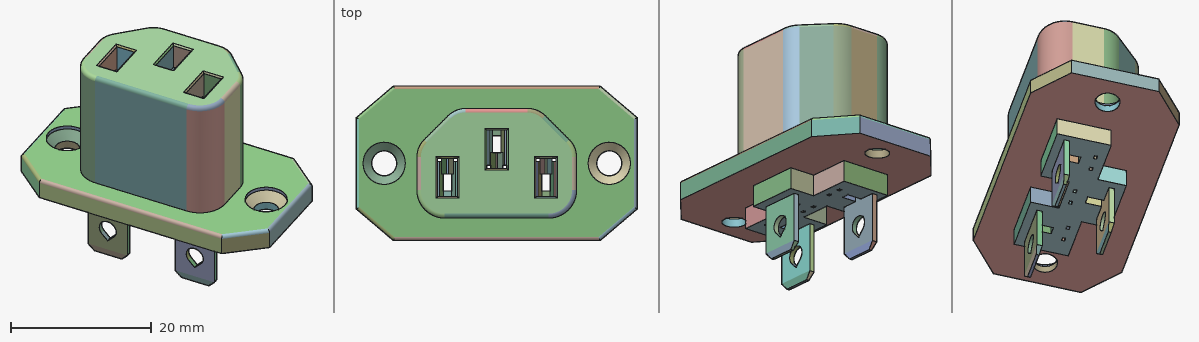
import cadquery as cq
import math


flange_length = 40.0
flange_width = 22.0
flange_height = 3.0
flange_cut_x = 5.3
flange_cut_y = 4.5
flange_edge_radius = 0.5

screw_spacing = 32.0
screw_diameter = 3.5
screw_head_diameter = 6.0
screw_head_recess = 0.5
screw_cone_depth = (screw_head_diameter - screw_diameter) / 2

body_length = 22.7
body_width = 15.6
body_height = 18.3
body_cut = 5.5
body_front_radius = 4.0
body_back_radius = 3.5
body_edge_radius = 0.6
body_top = flange_height + body_height

well_height = 3.2
well_length = 8.4
well_width = 8.0
side_well_x = 6.8
side_well_y = -2.0
earth_well_y = 2.2

pole_spacing = 7.0
row_offset = 2.0
socket_length = 2.8
socket_width = 5.45
socket_chamfer = 0.25
socket_height = body_top + well_height

tab_width = 6.3
tab_thickness = 0.8
tab_length = 8.3
tab_tip_length = 1.05
tab_tip_inset = 0.95
tab_tip_thickness = 0.45
eye_radius = 1.35
eye_drop = 3.8
tab_y = row_offset + socket_width / 2 - tab_thickness / 2

contact_top = body_top - 4.0
contact_gap = 1.2
contact_clear_depth = 2.4
contact_entry_depth = 2.4
contact_end_gap = 0.45
contact_rim = 0.3
lip_half_width = 0.9
lip_groove = 0.25
lip_groove_depth = 4.0


def make_flange():
    """Plate with four cut corners and a rounded upper rim."""
    x = flange_length / 2
    y = flange_width / 2
    outline = [
        (x, y - flange_cut_y), (x - flange_cut_x, y),
        (flange_cut_x - x, y), (-x, y - flange_cut_y),
        (-x, flange_cut_y - y), (flange_cut_x - x, -y),
        (x - flange_cut_x, -y), (x, flange_cut_y - y),
    ]
    plate = cq.Workplane("XY").polyline(outline).close().extrude(flange_height)
    return plate.faces(">Z").edges().fillet(flange_edge_radius)


def make_screw_hole(x):
    """Through hole with a cone and a short straight recess for the screw head."""
    cone_top = flange_height - screw_head_recess
    cone_bottom = cone_top - screw_cone_depth
    head_radius = screw_head_diameter / 2
    hole_radius = screw_diameter / 2
    profile = [
        (0, 0), (hole_radius, 0), (hole_radius, cone_bottom),
        (head_radius, cone_top), (head_radius, flange_height), (0, flange_height),
    ]
    hole = cq.Workplane("XZ").polyline(profile).close().revolve(360, (0, 0), (0, 1))
    return hole.translate((x, 0, 0))


def make_body():
    """Tall block with two cut back corners, rounded sides and a rounded top rim."""
    x = body_length / 2
    y = body_width / 2
    outline = [
        (-x, -y), (x, -y), (x, y - body_cut),
        (x - body_cut, y), (body_cut - x, y), (-x, y - body_cut),
    ]
    body = cq.Workplane("XY").polyline(outline).close().extrude(body_top)
    body = body.edges("|Z and <Y").fillet(body_front_radius)
    back_half = cq.selectors.BoxSelector((-body_length, 0, 0), (body_length, body_width, body_top))
    body = body.edges("|Z").edges(back_half).fillet(body_back_radius)
    return body.faces(">Z").edges().fillet(body_edge_radius)


def make_well(x, y):
    """Rectangular housing below the flange around one pole."""
    well = cq.Workplane("XY").box(well_length, well_width, well_height, centered=(True, True, False))
    return well.translate((x, y, -well_height))


def make_socket():
    """Opening through the whole part with a chamfered mouth, for the earth pole."""
    shaft = (
        cq.Workplane("XY", origin=(0, row_offset, -well_height))
        .rect(socket_length, socket_width).extrude(socket_height)
    )
    mouth = (
        cq.Workplane("XY", origin=(0, row_offset, body_top))
        .rect(socket_length + 2 * socket_chamfer, socket_width + 2 * socket_chamfer)
        .workplane(offset=-socket_chamfer)
        .rect(socket_length, socket_width).loft(ruled=True)
    )
    return shaft.union(mouth)


def make_tab():
    """Solder tab with a bevelled tip and a teardrop eye, for the earth pole."""
    top = -well_height
    bottom = top - tab_length
    shoulder = bottom + tab_tip_length
    half = tab_width / 2
    face = [
        (-half, top), (half, top), (half, shoulder), (half - tab_tip_inset, bottom),
        (tab_tip_inset - half, bottom), (-half, shoulder),
    ]
    blade = cq.Workplane("XZ").polyline(face).close().extrude(tab_thickness / 2, both=True)

    half_thick = tab_thickness / 2
    half_tip = tab_tip_thickness / 2
    side = [
        (-half_thick, top), (half_thick, top), (half_thick, shoulder),
        (half_tip, bottom), (-half_tip, bottom), (-half_thick, shoulder),
    ]
    wedge = cq.Workplane("YZ").polyline(side).close().extrude(tab_width / 2, both=True)

    eye_z = top - eye_drop
    tangent = eye_radius * math.sqrt(0.5)
    eye = (
        cq.Workplane("XZ").moveTo(-tangent, eye_z - tangent)
        .threePointArc((0, eye_z + eye_radius), (tangent, eye_z - tangent))
        .lineTo(0, eye_z - 2 * tangent).close()
        .extrude(tab_thickness, both=True)
    )
    return blade.intersect(wedge).cut(eye).translate((0, tab_y, 0))


def extrude_along_y(points, y_start, y_end):
    """Extrude an X-Z outline from y_start to y_end."""
    plane = cq.Workplane("XZ", origin=(0, y_end, 0))
    return plane.polyline(points).close().extrude(y_end - y_start)


def make_contact():
    """Back strip, two tapered cheeks and a grooved front lip, for the earth pole."""
    bottom = -well_height
    gap = contact_gap / 2
    wall = socket_length / 2
    entry = contact_top - contact_entry_depth
    socket_back = row_offset + socket_width / 2
    socket_front = row_offset - socket_width / 2
    strip_front = socket_back - tab_thickness
    lip_back = strip_front - contact_clear_depth

    strip = extrude_along_y(
        [(-gap, bottom), (gap, bottom), (gap, contact_top), (-gap, contact_top)],
        strip_front, socket_back,
    )
    cheek = extrude_along_y(
        [
            (gap, bottom), (wall, bottom), (wall, contact_top),
            (wall - contact_rim, contact_top), (gap, entry),
        ],
        socket_front + contact_end_gap, socket_back,
    )
    groove = lip_groove / 2
    groove_floor = contact_top - lip_groove_depth
    lip = extrude_along_y(
        [
            (-lip_half_width, bottom), (lip_half_width, bottom), (lip_half_width, contact_top),
            (groove, groove_floor), (-groove, groove_floor), (-lip_half_width, contact_top),
        ],
        socket_front, lip_back,
    )
    return strip.union(cheek).union(cheek.mirror("YZ")).union(lip)


def at_all_poles(earth_shape):
    """Earth pole as given, plus a half-turned copy for each of the two side poles."""
    side_shape = earth_shape.rotate((0, 0, 0), (0, 0, 1), 180)
    placed = [earth_shape]
    for x in (-pole_spacing, pole_spacing):
        placed.append(side_shape.translate((x, 0, 0)))
    return placed


result = make_flange().union(make_body())

for well_x, well_y in ((-side_well_x, side_well_y), (side_well_x, side_well_y), (0, earth_well_y)):
    result = result.union(make_well(well_x, well_y))

for screw_x in (-screw_spacing / 2, screw_spacing / 2):
    result = result.cut(make_screw_hole(screw_x))

for socket in at_all_poles(make_socket()):
    result = result.cut(socket)

for metal in at_all_poles(make_contact().union(make_tab())):
    result = result.union(metal)